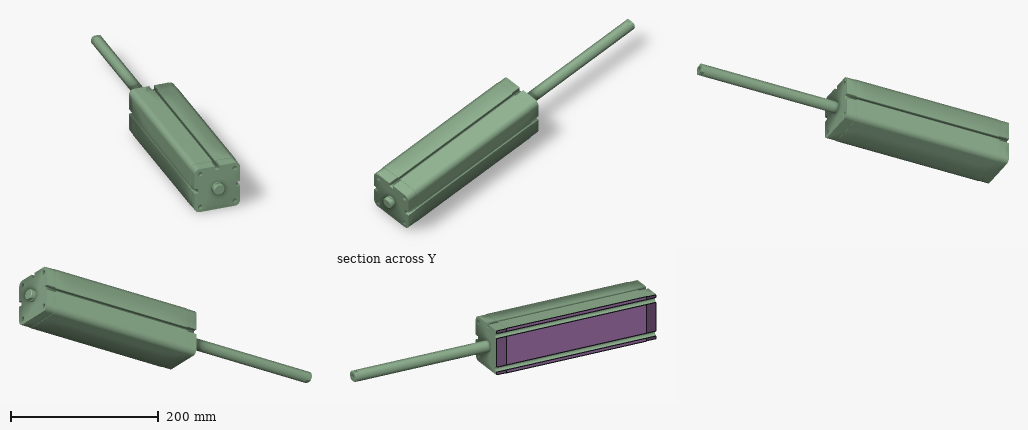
import cadquery as cq
import math

rod_reach = 207.0
cap_length = 15.0
body_length = 216.0
rod_tail = 8.0
body_start = rod_reach + cap_length
body_end = body_start + body_length
rear_cap_end = body_end + cap_length
rod_length = rear_cap_end + rod_tail

body_side = 67.0
body_corner_radius = 8.0
cap_inset = 0.5
cap_side = body_side - 2 * cap_inset
cap_corner_radius = body_corner_radius - cap_inset

bolt_spacing = 50.0
bolt_diameter = 6.6

slot_width = 7.0
slot_mouth_width = 4.2
slot_floor = 27.0
slot_lip_thickness = 2.0
slot_lip_bottom = body_side / 2 - slot_lip_thickness
slot_angles = (-90, 0, 90)

rod_diameter = 16.0
body_bore_diameter = rod_diameter
cap_bore_diameter = 17.0
flat_spacing = 13.0
flat_length = 6.0
front_chamfer = 0.3
rear_chamfer = 1.0
socket_diameter = 6.6
socket_depth = 15.0
drill_point_angle = 118.0


def section(x):
    """Workplane across the axis at x; local x is +Y and local y is +Z."""
    return cq.Workplane("YZ", origin=(x, 0, 0))


def slot_cutter(x, length, width, bottom, top):
    """Bars of one width, between two heights, on each slotted side."""
    bar = section(x).center(0, (bottom + top) / 2).rect(width, top - bottom).extrude(length)
    cutter = cq.Workplane("YZ")
    for angle in slot_angles:
        cutter = cutter.add(bar.rotate((0, 0, 0), (1, 0, 0), angle))
    return cutter.combine()


def square_block(x, length, side, corner_radius, bore_diameter):
    """Rounded square block with an axial bore and four bolt holes."""
    block = section(x).rect(side, side).extrude(length).edges("|X").fillet(corner_radius)
    block = block.cut(section(x).circle(bore_diameter / 2).extrude(length))
    bolts = section(x).rect(bolt_spacing, bolt_spacing, forConstruction=True).vertices()
    return block.cut(bolts.circle(bolt_diameter / 2).extrude(length))


def make_body():
    body = square_block(body_start, body_length, body_side, body_corner_radius, body_bore_diameter)
    body = body.cut(slot_cutter(body_start, body_length, slot_width, slot_floor, slot_lip_bottom))
    return body.cut(slot_cutter(body_start, body_length, slot_mouth_width, slot_floor, body_side))


def make_cap(x):
    cap = square_block(x, cap_length, cap_side, cap_corner_radius, cap_bore_diameter)
    return cap.cut(slot_cutter(x, cap_length, slot_width, slot_floor, body_side))


def socket_cutter():
    """Blind hole with a conical drill point, revolved about the X axis."""
    radius = socket_diameter / 2
    tip_length = radius / math.tan(math.radians(drill_point_angle / 2))
    profile = cq.Workplane("XY").lineTo(0, radius).lineTo(socket_depth, radius)
    profile = profile.lineTo(socket_depth + tip_length, 0).close()
    return profile.revolve(360, (0, 0, 0), (1, 0, 0))


def make_rod():
    rod = section(0).circle(rod_diameter / 2).extrude(rod_length)
    rod = rod.faces("<X").chamfer(front_chamfer)
    rod = rod.faces(">X").chamfer(rear_chamfer)
    flat_cut_depth = (rod_diameter - flat_spacing) / 2
    flat_cut_height = (flat_spacing + flat_cut_depth) / 2
    for x in (0, rod_length - flat_length):
        for side in (-1, 1):
            flat = section(x).center(0, side * flat_cut_height).rect(rod_diameter, flat_cut_depth)
            rod = rod.cut(flat.extrude(flat_length))
    return rod.cut(socket_cutter())


body = make_body()
caps = [make_cap(x) for x in (rod_reach, body_end)]
rod = make_rod()

result = cq.Compound.makeCompound([body.val(), *[cap.val() for cap in caps], rod.val()])